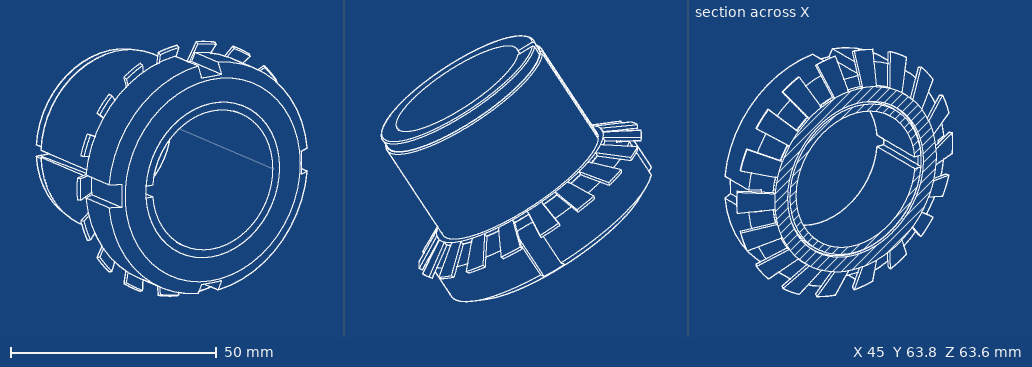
import cadquery as cq
import math


overall_length = 45.0
ring_start = 2.8
washer_start = 28.85
washer_thickness = 0.9
nut_start = washer_start + washer_thickness

bore_radius = 17.5
cone_large_radius = 22.04
cone_small_radius = 20.5
sleeve_chamfer = 0.4
sleeve_slot_width = 3.0
thread_core_radius = 38.92 / 2
thread_outer_radius = 40.0 / 2

ring_radius = 22.5
ring_chamfer = 0.4
ring_split_width = 1.75

washer_radius = 23.9
tab_tip_radius = 31.9
tab_lean = math.radians(30)
tab_count = 18
tab_pitch = 360 / tab_count
tab_angle = 10.0

nut_radius = 29.0
nut_chamfer_length = 2.0
nut_chamfer_depth = 3.5
nut_slot_width = 5.8
nut_slot_floor_distance = 26.15
nut_slot_count = 4

bend_inner_radius = washer_radius - washer_thickness * math.tan(tab_lean / 2)
cone_slope = (cone_large_radius - cone_small_radius) / (washer_start - sleeve_chamfer)
cone_radius_at_ring = cone_large_radius - cone_slope * (ring_start - sleeve_chamfer)


def revolve_profile(points, angle=360):
    """Turn an outline of (x, radius) points about the X axis."""
    return cq.Workplane("XY").polyline(points).close().revolve(angle, (0, 0, 0), (1, 0, 0))


def side_cutter(width, inner_distance=0):
    """Block on the -Y side, running the whole length, from inner_distance out past the rim."""
    reach = nut_radius
    return (
        cq.Workplane("XY")
        .box(overall_length, reach, width, centered=(False, False, True))
        .translate((0, -inner_distance - reach, 0))
    )


def make_sleeve():
    profile = [
        (0, bore_radius),
        (0, cone_large_radius - sleeve_chamfer),
        (sleeve_chamfer, cone_large_radius),
        (washer_start, cone_small_radius),
        (washer_start, thread_core_radius),
        (overall_length, thread_core_radius),
        (overall_length, bore_radius),
    ]
    return revolve_profile(profile).cut(side_cutter(sleeve_slot_width))


def make_ring():
    profile = [
        (ring_start, cone_radius_at_ring),
        (ring_start, ring_radius - ring_chamfer),
        (ring_start + ring_chamfer, ring_radius),
        (washer_start, ring_radius),
        (washer_start, cone_small_radius),
    ]
    return revolve_profile(profile).cut(side_cutter(ring_split_width))


def make_tab(angle):
    """One bent tab centred at an angle about X, measured from +Y, with its foot in the disc."""
    tab_rise = tab_tip_radius - washer_radius
    tip_x = washer_start + tab_rise * math.tan(tab_lean)
    profile = [
        (washer_start, thread_outer_radius),
        (washer_start, washer_radius),
        (tip_x, tab_tip_radius),
        (
            tip_x + washer_thickness * math.cos(tab_lean),
            tab_tip_radius - washer_thickness * math.sin(tab_lean),
        ),
        (nut_start, bend_inner_radius),
        (nut_start, thread_outer_radius),
    ]
    tab = revolve_profile(profile, tab_angle)
    return tab.rotate((0, 0, 0), (1, 0, 0), angle - tab_angle / 2)


def make_washer():
    washer = revolve_profile([
        (washer_start, thread_outer_radius),
        (washer_start, washer_radius),
        (nut_start, washer_radius),
        (nut_start, thread_outer_radius),
    ])
    for index in range(tab_count):
        washer = washer.union(make_tab(index * tab_pitch))
    return washer


def make_nut():
    cone_end = nut_start + (nut_radius - bend_inner_radius) * math.tan(tab_lean)
    thread_chamfer = thread_outer_radius - thread_core_radius
    nut = revolve_profile([
        (nut_start, thread_outer_radius),
        (nut_start, bend_inner_radius),
        (cone_end, nut_radius),
        (overall_length - nut_chamfer_length, nut_radius),
        (overall_length, nut_radius - nut_chamfer_depth),
        (overall_length, thread_core_radius),
        (nut_start + thread_chamfer, thread_core_radius),
    ])
    slot = side_cutter(nut_slot_width, nut_slot_floor_distance)
    for index in range(nut_slot_count):
        nut = nut.cut(slot.rotate((0, 0, 0), (1, 0, 0), index * 360 / nut_slot_count))
    return nut


sleeve = make_sleeve()
ring = make_ring()
washer = make_washer()
nut = make_nut()

result = cq.Compound.makeCompound([sleeve.val(), ring.val(), washer.val(), nut.val()])